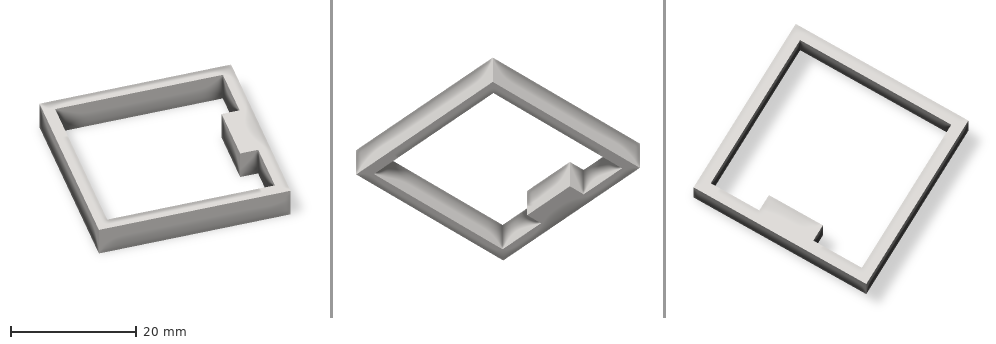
import cadquery as cq

frame_side = 32.0
frame_height = 5.0
wall = 2.0
opening_side = frame_side - 2 * wall

block_length = 10.0
block_depth = 3.0
block_height = frame_height


def make_frame():
    """Square ring standing on the XY plane, centred on the Z axis."""
    return (
        cq.Workplane("XY")
        .rect(frame_side, frame_side)
        .rect(opening_side, opening_side)
        .extrude(frame_height)
    )


def make_block():
    """Block reaching inward from the +Y wall, rooted through the wall thickness."""
    rooted_depth = block_depth + wall
    center_y = frame_side / 2 - rooted_depth / 2
    return (
        cq.Workplane("XY")
        .center(0, center_y)
        .rect(block_length, rooted_depth)
        .extrude(block_height)
    )


result = make_frame().union(make_block()).clean()